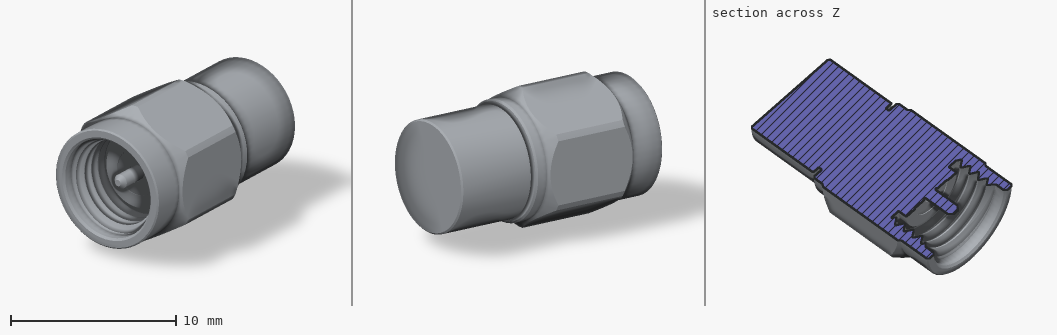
import cadquery as cq
import math

overall_length = 14.73

nut_diameter = 7.67
nut_length = 9.39
front_edge_chamfer = 0.09
rear_edge_chamfer = 0.12
hex_across_flats = 7.944
hex_corner_diameter = 8.93
hex_front = 2.19
hex_rear = 8.62
hex_bevel_length = 0.75

body_diameter = 7.11
body_front = 9.62
body_chamfer = 0.1
neck_diameter = 6.1

socket_depth = 3.8
relief_diameter = 6.35
relief_depth = 0.78
mouth_chamfer = 0.135
thread_minor_diameter = 5.43
thread_pitch = 25.4 / 36
root_clearance = 0.02
thread_root_diameter = relief_diameter - root_clearance
thread_root_flat = 0.06
thread_crest_flat = 0.08
thread_start = relief_depth
groove_overreach = 0.03

sleeve_diameter = 4.57
sleeve_front = 3.17
insulator_diameter = 2.92
insulator_recess = 0.05
pin_clearance_diameter = 1.17
pin_clearance_depth = 0.05

pin_diameter = 0.91
pin_tip_diameter = 0.41
pin_tip_length = 0.3
pin_tip = 1.17


def revolve_profile(points):
    """Turn an outline of (radius, Y) points about the Y axis."""
    return cq.Workplane("XY").polyline(points).close().revolve(360, (0, 0, 0), (0, 1, 0))


def cylinder(diameter, start, end):
    """Round bar along Y from start to end."""
    return revolve_profile([(0, start), (diameter / 2, start), (diameter / 2, end), (0, end)])


def make_outer_turning():
    """Round outside of the nut, the neck and the cable-end body."""
    nut_radius = nut_diameter / 2
    neck_radius = neck_diameter / 2
    body_radius = body_diameter / 2
    return revolve_profile([
        (0, 0),
        (nut_radius - front_edge_chamfer, 0),
        (nut_radius, front_edge_chamfer),
        (nut_radius, nut_length - rear_edge_chamfer),
        (nut_radius - rear_edge_chamfer, nut_length),
        (neck_radius, nut_length),
        (neck_radius, body_front),
        (body_radius, body_front),
        (body_radius, overall_length - body_chamfer),
        (body_radius - body_chamfer, overall_length),
        (0, overall_length),
    ])


def make_hexagon():
    """Wrench hexagon with rounded corners, corners up and down, bevelled at both ends."""
    sharp_corner_diameter = hex_across_flats / math.cos(math.radians(30))
    prism = (
        cq.Workplane("XZ", origin=(0, hex_front, 0))
        .transformed(rotate=(0, 0, 90))
        .polygon(6, sharp_corner_diameter)
        .extrude(hex_front - hex_rear)
    )
    nut_radius = nut_diameter / 2
    corner_radius = hex_corner_diameter / 2
    bevelled_bar = revolve_profile([
        (0, hex_front),
        (nut_radius, hex_front),
        (corner_radius, hex_front + hex_bevel_length),
        (corner_radius, hex_rear - hex_bevel_length),
        (nut_radius, hex_rear),
        (0, hex_rear),
    ])
    return prism.intersect(bevelled_bar)


def make_socket():
    """Space inside the nut: chamfered mouth, relief bore, 45 degree lead-in and thread bore."""
    relief_radius = relief_diameter / 2
    minor_radius = thread_minor_diameter / 2
    lead_in_end = relief_depth + relief_radius - minor_radius
    return revolve_profile([
        (0, 0),
        (relief_radius + mouth_chamfer, 0),
        (relief_radius, mouth_chamfer),
        (relief_radius, relief_depth),
        (minor_radius, lead_in_end),
        (minor_radius, socket_depth),
        (0, socket_depth),
    ])


def make_thread_groove():
    """Right-hand helical V groove, cut off level with the socket floor."""
    minor_radius = thread_minor_diameter / 2
    root_radius = thread_root_diameter / 2
    inner_radius = minor_radius - groove_overreach
    root_half = thread_root_flat / 2
    crest_half = (thread_pitch - thread_crest_flat) / 2
    flank_slope = (crest_half - root_half) / (root_radius - minor_radius)
    inner_half = crest_half + groove_overreach * flank_slope
    helix_length = socket_depth + thread_pitch - thread_start
    helix = cq.Wire.makeHelix(thread_pitch, helix_length, root_radius)
    groove = (
        cq.Workplane("XZ")
        .polyline([
            (inner_radius, -inner_half),
            (root_radius, -root_half),
            (root_radius, root_half),
            (inner_radius, inner_half),
        ])
        .close()
        .sweep(cq.Workplane(helix), isFrenet=True)
        .rotate((0, 0, 0), (1, 0, 0), -90)
        .translate((0, thread_start, 0))
    )
    return groove.intersect(cylinder(nut_diameter, 0, socket_depth))


def make_pin():
    """Centre pin with a tapered tip."""
    pin_radius = pin_diameter / 2
    pin_end = socket_depth
    return revolve_profile([
        (0, pin_tip),
        (pin_tip_diameter / 2, pin_tip),
        (pin_radius, pin_tip + pin_tip_length),
        (pin_radius, pin_end),
        (0, pin_end),
    ])


def make_sleeve():
    """Contact sleeve with the recessed insulator face and the clearance ring around the pin."""
    insulator_face = sleeve_front + insulator_recess
    clearance_floor = insulator_face + pin_clearance_depth
    sleeve = cylinder(sleeve_diameter, sleeve_front, socket_depth)
    insulator_pocket = cylinder(insulator_diameter, sleeve_front, insulator_face)
    pin_clearance = cylinder(pin_clearance_diameter, insulator_face, clearance_floor)
    return sleeve.cut(insulator_pocket).cut(pin_clearance)


nut_and_body = make_outer_turning().union(make_hexagon())
threaded_shell = nut_and_body.cut(make_socket()).cut(make_thread_groove())
result = threaded_shell.union(make_sleeve()).union(make_pin())